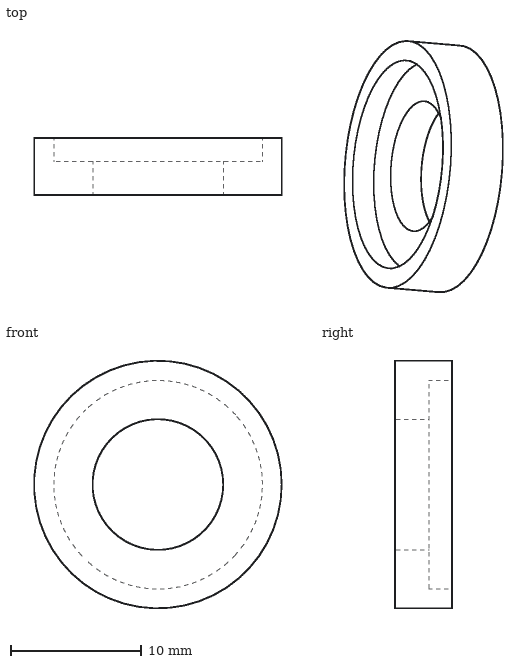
import cadquery as cq

outer_diameter = 19.0
thickness = 4.4
bore_diameter = 10.0

web_thickness = 2.6
recess_diameter = 16.0
recess_depth = thickness - web_thickness


def cylinder_from_back(diameter, length):
    """Cylinder along Y that starts at the +Y face and runs toward -Y."""
    return (
        cq.Workplane("XZ", origin=(0, thickness / 2, 0))
        .circle(diameter / 2)
        .extrude(length)
    )


body = cylinder_from_back(outer_diameter, thickness)
bore = cylinder_from_back(bore_diameter, thickness)
recess = cylinder_from_back(recess_diameter, recess_depth)

result = body.cut(bore).cut(recess)